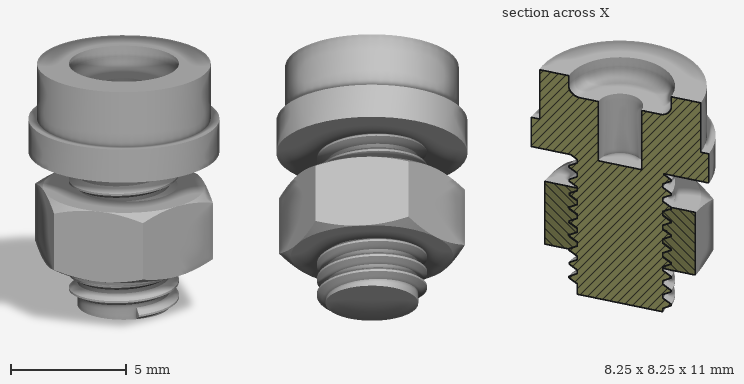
import cadquery as cq
import math

shank_diameter = 4.0
shank_length = 7.0
flange_diameter = 8.25
flange_height = 1.5
head_diameter = 7.5
head_height = 2.5

recess_diameter = 4.75
recess_depth = 1.0
recess_corner_radius = 0.5
hole_diameter = 2.0

thread_pitch = 0.7
thread_half_angle = math.radians(30)
thread_crest_width = thread_pitch / 8
thread_base_width = thread_pitch * 3 / 4
thread_depth = (thread_base_width - thread_crest_width) / 2 / math.tan(thread_half_angle)
thread_overlap = 0.1
thread_lift = 0.01
thread_runout = thread_pitch / 2

nut_across_flats = 7.0
nut_height = 3.2
nut_bottom = 2.2
nut_turn = -4.1
nut_chamfer_angle = math.radians(30)

flange_top = shank_length + flange_height
head_top = flange_top + head_height
recess_floor = head_top - recess_depth
hole_depth = recess_floor - shank_length
nut_across_corners = nut_across_flats / math.cos(math.radians(30))


def disc(diameter, bottom, height):
    """Cylinder about Z whose seam lies on -X, clear of the thread start on +X."""
    cylinder = cq.Workplane("XY").workplane(offset=bottom).circle(diameter / 2).extrude(height)
    return cylinder.rotate((0, 0, 0), (0, 0, 1), 180)


def make_thread():
    """Right-hand helical ridge that starts on +X just above the end of the shank."""
    shank_radius = shank_diameter / 2
    root_radius = shank_radius - thread_overlap
    crest_radius = shank_radius + thread_depth
    middle = thread_base_width / 2
    half_crest = thread_crest_width / 2
    helix = cq.Wire.makeHelix(thread_pitch, shank_length + thread_runout, shank_radius)
    ridge = (
        cq.Workplane("XZ")
        .moveTo(root_radius, 0)
        .lineTo(shank_radius, 0)
        .lineTo(crest_radius, middle - half_crest)
        .lineTo(crest_radius, middle + half_crest)
        .lineTo(shank_radius, thread_base_width)
        .lineTo(root_radius, thread_base_width)
        .close()
        .sweep(cq.Workplane(helix), isFrenet=True)
    )
    return ridge.translate((0, 0, thread_lift))


def make_recess():
    dish = disc(recess_diameter, recess_floor, recess_depth)
    return dish.faces("<Z").edges().fillet(recess_corner_radius)


def make_screw():
    shank = disc(shank_diameter, 0, shank_length)
    flange = disc(flange_diameter, shank_length, flange_height)
    head = disc(head_diameter, flange_top, head_height)
    blind_hole = disc(hole_diameter, recess_floor - hole_depth, hole_depth)
    body = shank.union(flange).union(head).union(make_thread())
    return body.cut(make_recess()).cut(blind_hole)


def make_nut_blank():
    """Hexagon with its corners turned off by a cone at both ends."""
    hexagon = (
        cq.Workplane("XY")
        .workplane(offset=nut_bottom)
        .polygon(6, nut_across_corners)
        .extrude(nut_height)
        .rotate((0, 0, 0), (0, 0, 1), nut_turn)
    )
    chamfer_width = (nut_across_corners - nut_across_flats) / 2
    chamfer_drop = chamfer_width * math.tan(nut_chamfer_angle)
    turned_envelope = (
        disc(nut_across_corners, nut_bottom, nut_height)
        .faces("<Z or >Z")
        .edges()
        .chamfer(chamfer_drop, chamfer_width)
    )
    return hexagon.intersect(turned_envelope)


screw = make_screw()
nut = make_nut_blank().cut(screw)

result = cq.Compound.makeCompound([screw.solids().val(), nut.solids().val()])